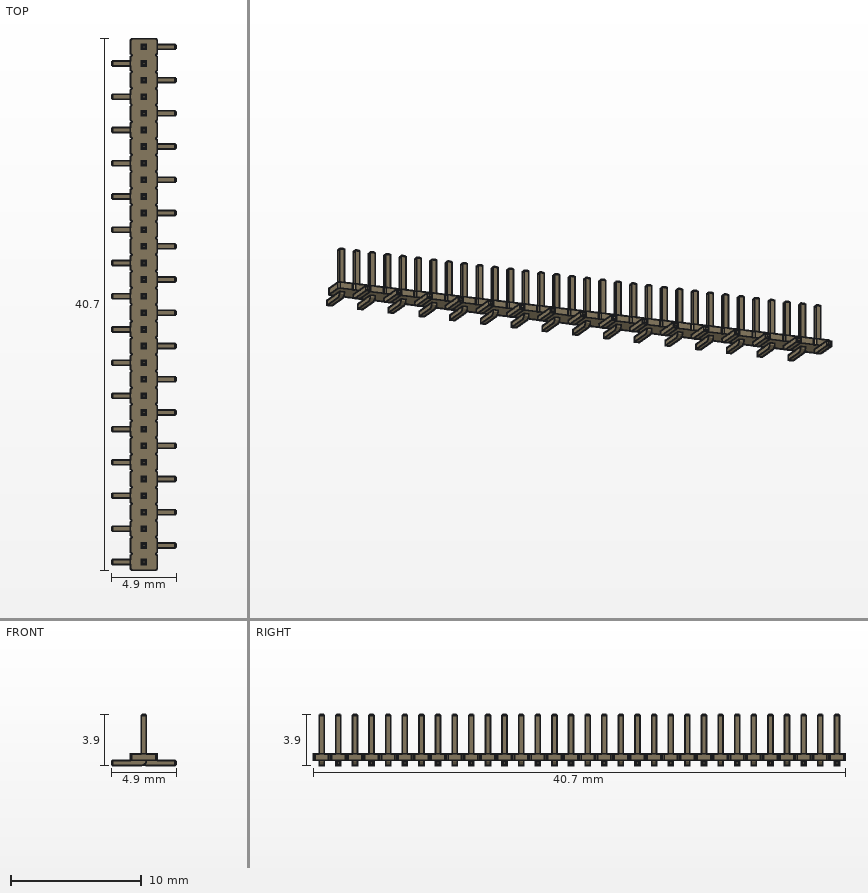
import cadquery as cq

pin_count = 32
body_length = 40.65
body_width = 2.07
overall_width = 4.9
overall_height = 3.9
body_top = 0.9
pin_size = 0.4
tip_chamfer = 0.1

pitch = body_length / pin_count
corner_chamfer = pitch / 10
first_pin_y = -(body_length - pitch) / 2
body_height = body_top - pin_size
half_pin = pin_size / 2
bend_radius = pin_size
foot_reach = overall_width / 2


def body_segment(y):
    """One pitch of the insulator: a block with chamfered vertical corners."""
    return (
        cq.Workplane("XY", origin=(0, y, pin_size))
        .rect(body_width, pitch)
        .extrude(body_height)
        .edges("|Z")
        .chamfer(corner_chamfer)
    )


def bent_pin(y, side):
    """Square pin bent into a flat foot towards +X (side 1) or -X (side -1)."""
    heel_x = -side * half_pin
    foot_tip_x = side * foot_reach
    foot_end = ">X" if side > 0 else "<X"
    return (
        cq.Workplane("XZ", origin=(0, y + half_pin, 0))
        .moveTo(foot_tip_x, 0)
        .lineTo(heel_x + side * bend_radius, 0)
        .radiusArc((heel_x, bend_radius), side * bend_radius)
        .lineTo(heel_x, overall_height)
        .lineTo(-heel_x, overall_height)
        .lineTo(-heel_x, pin_size)
        .lineTo(foot_tip_x, pin_size)
        .close()
        .extrude(pin_size)
        .faces(">Z")
        .chamfer(tip_chamfer)
        .faces(foot_end)
        .chamfer(tip_chamfer)
    )


result = cq.Workplane("XY")
for index in range(pin_count):
    pin_y = first_pin_y + index * pitch
    foot_side = -1 if index % 2 == 0 else 1
    result = result.union(body_segment(pin_y)).union(bent_pin(pin_y, foot_side))